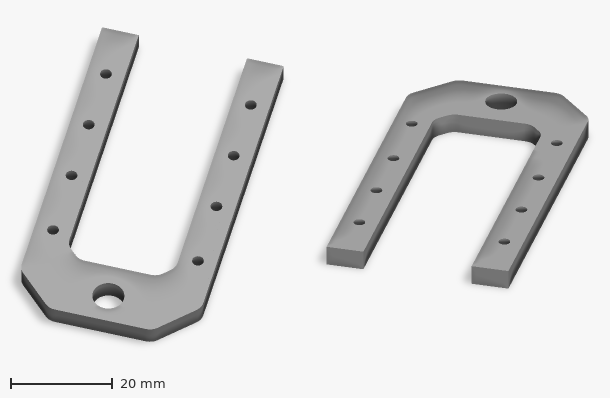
import cadquery as cq

length = 70.0
width = 37.0
thickness = 4.0

leg_width = 7.5
bridge_depth = 13.2
slot_width = width - 2 * leg_width
slot_length = length - bridge_depth

outer_chamfer = 8.0
slot_chamfer = 3.0
blend_radius = 3.0

leg_hole_diameter = 2.3
leg_hole_distances = (11.0, 24.0, 37.0, 51.0)
bridge_hole_diameter = 6.3
bridge_hole_offset = 6.0


def cut_corner_block(block_width, block_length, chamfer):
    """Block starting at Y = 0 with its two -Y corners chamfered and blended."""
    block = cq.Workplane("XY").box(block_width, block_length, thickness, centered=(True, False, False))
    block = block.edges("|Z and <Y").chamfer(chamfer)

    margin = 0.1
    blend_zone = cq.selectors.BoxSelector(
        (-block_width, -margin, -margin),
        (block_width, chamfer + margin, thickness + margin),
    )
    return block.edges("|Z").edges(blend_zone).fillet(blend_radius)


def through_holes(points, diameter):
    return cq.Workplane("XY").pushPoints(points).circle(diameter / 2).extrude(thickness)


plate = cut_corner_block(width, length, outer_chamfer)
slot = cut_corner_block(slot_width, slot_length, slot_chamfer).translate((0, bridge_depth, 0))

leg_center = (width - leg_width) / 2
leg_hole_points = [
    (side * leg_center, length - distance)
    for side in (-1, 1)
    for distance in leg_hole_distances
]
leg_holes = through_holes(leg_hole_points, leg_hole_diameter)
bridge_hole = through_holes([(0, bridge_hole_offset)], bridge_hole_diameter)

result = plate.cut(slot).cut(leg_holes).cut(bridge_hole)